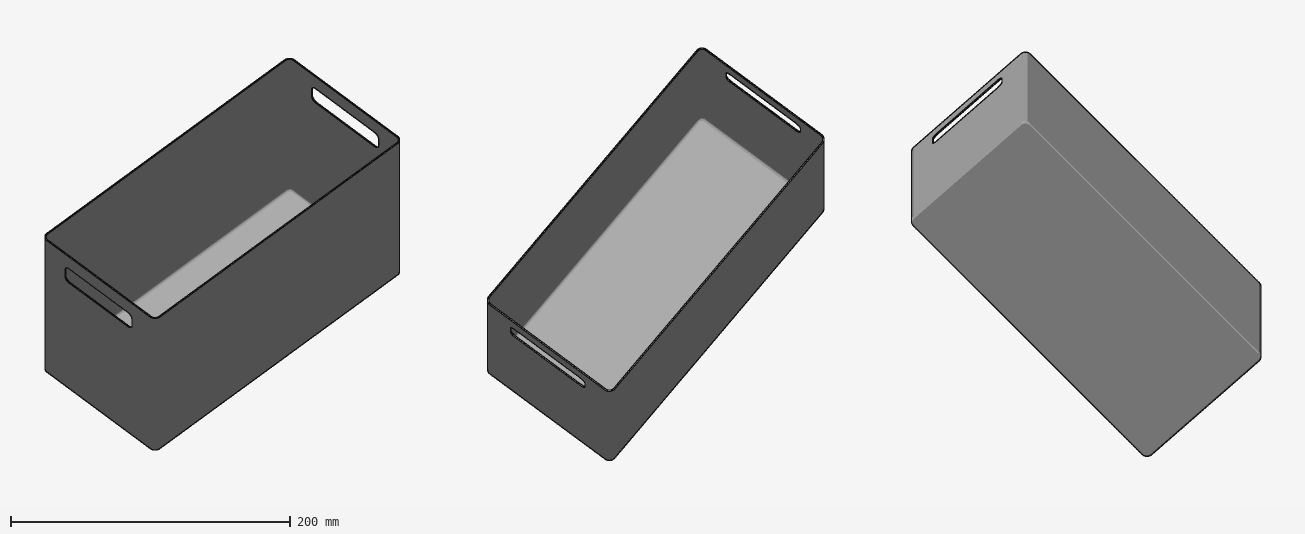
import cadquery as cq

width = 115
length = 250
height = 140

wall = 1.0
corner_radius = 5.0
floor_inner_radius = 2.0
floor_outer_radius = 1.5

slot_width = 68.0
slot_height = 15.0
slot_corner_radius = 4.0
slot_top_gap = 12.5


def rounded_block(inset, floor_radius):
    """Box with rounded upright corners and floor edge, inset from the outer sides and bottom."""
    return (
        cq.Workplane("XY")
        .workplane(offset=inset)
        .rect(width - 2 * inset, length - 2 * inset)
        .extrude(height - inset)
        .edges("|Z")
        .fillet(corner_radius - inset)
        .faces("<Z")
        .edges()
        .fillet(floor_radius)
    )


def hand_slots():
    """Bar along Y that opens the same slot in both end walls."""
    slot_center_z = height - slot_top_gap - slot_height / 2
    return (
        cq.Workplane("XY")
        .box(slot_width, length, slot_height)
        .edges("|Y")
        .fillet(slot_corner_radius)
        .translate((0, 0, slot_center_z))
    )


shell = rounded_block(0, floor_outer_radius).cut(rounded_block(wall, floor_inner_radius))
result = shell.cut(hand_slots())